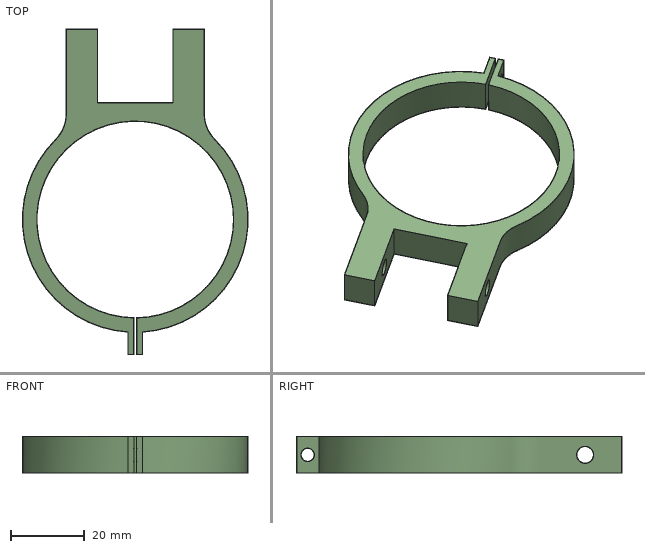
import cadquery as cq
import math

length = 88.4
thickness = 10.0

outer_radius = 30.7
wall = 4.0
inner_radius = outer_radius - wall

fork_end = 51.7
fork_width = 37.6
fork_gap = 20.5
fork_floor = 31.7
blend_radius = 10.0
fork_hole_diameter = 4.5
fork_hole_inset = 10.0

tab_end = fork_end - length
tabs_width = 4.0
split_width = 0.8
tab_hole_diameter = 3.5
tab_hole_inset = 3.0


def block(width, y_start, y_end):
    """Full-thickness block centred on X, spanning y_start to y_end."""
    depth = y_end - y_start
    return cq.Workplane("XY").center(0, y_start + depth / 2).rect(width, depth).extrude(thickness)


def disc(radius):
    return cq.Workplane("XY").circle(radius).extrude(thickness)


def cross_hole(diameter, y):
    """Hole along X at mid-thickness."""
    return (
        cq.Workplane("YZ")
        .center(y, thickness / 2)
        .circle(diameter / 2)
        .extrude(outer_radius, both=True)
    )


def fork_body():
    """Fork block with concave arcs tangent to its sides and to the ring."""
    half_width = fork_width / 2
    centre_x = half_width + blend_radius
    centre_distance = outer_radius + blend_radius
    centre_y = math.sqrt(centre_distance**2 - centre_x**2)
    ring_x = centre_x * outer_radius / centre_distance
    ring_y = centre_y * outer_radius / centre_distance
    mid_angle = (math.pi + math.atan2(centre_y, centre_x) + math.pi) / 2
    mid_x = centre_x + blend_radius * math.cos(mid_angle)
    mid_y = centre_y + blend_radius * math.sin(mid_angle)
    return (
        cq.Workplane("XY")
        .moveTo(0, 0)
        .lineTo(ring_x, ring_y)
        .threePointArc((mid_x, mid_y), (half_width, centre_y))
        .lineTo(half_width, fork_end)
        .lineTo(-half_width, fork_end)
        .lineTo(-half_width, centre_y)
        .threePointArc((-mid_x, mid_y), (-ring_x, ring_y))
        .close()
        .extrude(thickness)
    )


body = disc(outer_radius).union(fork_body()).union(block(tabs_width, tab_end, 0))

body = body.cut(disc(inner_radius))
body = body.cut(block(fork_gap, fork_floor, fork_end))
body = body.cut(block(split_width, tab_end, 0))

body = body.cut(cross_hole(fork_hole_diameter, fork_end - fork_hole_inset))
result = body.cut(cross_hole(tab_hole_diameter, tab_end + tab_hole_inset))